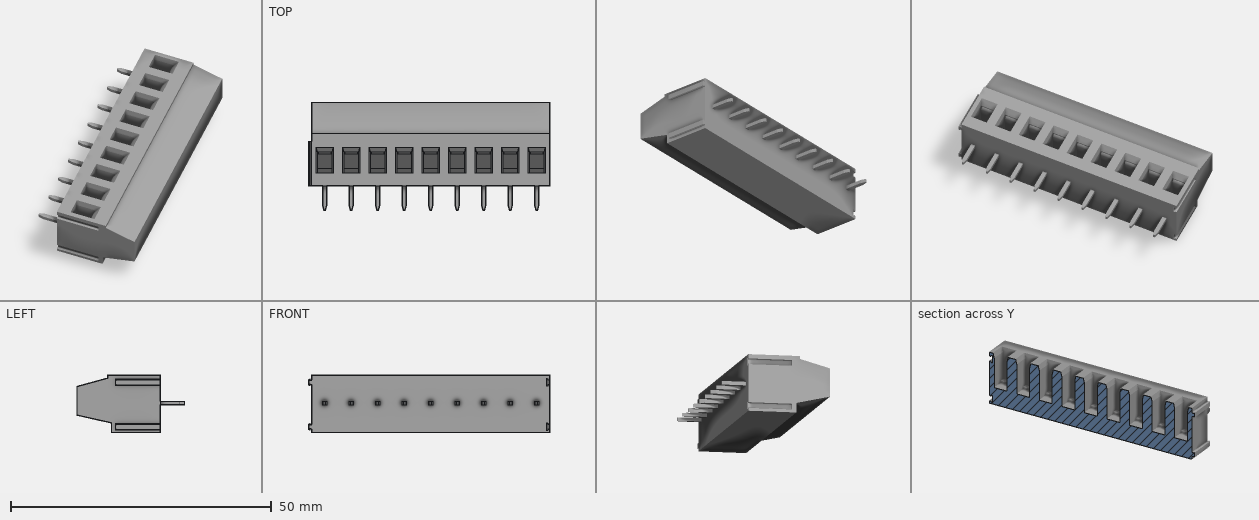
import cadquery as cq


RAIL_REACH = 0.6
BODY_LENGTH = 46.3 - RAIL_REACH
BODY_DEPTH = 16.0
BODY_HEIGHT = 11.0
TOP_LEDGE_DEPTH = 10.1
TOP_STEP = 0.55
BOTTOM_LEDGE_DEPTH = 9.4
BOTTOM_STEP = 1.85
REAR_TOP_DROP = 2.18
REAR_BOTTOM_RISE = 3.35

WAY_COUNT = 9
WAY_SPAN = 40.65
WAY_PITCH = WAY_SPAN / (WAY_COUNT - 1)
FIRST_WAY_X = 2.5

ENTRY_WIDTH = 3.35
ENTRY_FRONT_Y = 2.5
ENTRY_BACK_Y = 7.4
FUNNEL_DEPTH = 1.05
FUNNEL_SIDE_TAPER = 0.3
FUNNEL_BACK_TAPER = 0.93
SHAFT_WIDTH = ENTRY_WIDTH - 2 * FUNNEL_SIDE_TAPER
SHAFT_BACK_Y = ENTRY_BACK_Y - FUNNEL_BACK_TAPER
SHAFT_FLOOR_Z = 3.7
SHAFT_TOP_Z = BODY_HEIGHT - FUNNEL_DEPTH
SILL_DEPTH = 0.9
SILL_HEIGHT = 0.45

BAR_WIDTH = 2.4
BAR_PROTRUSION = 0.35
BAR_RADIUS = 0.6
BAR_TOP_Z = SHAFT_TOP_Z - 0.2

PIN_WIDTH = 0.85
PIN_THICKNESS = 0.7
PIN_LENGTH = 4.68
PIN_TIP_LENGTH = 1.0
PIN_TIP_WIDTH = 0.32
PIN_Z = 5.65

COUPLING_LENGTH = 8.55
COUPLING_CENTRES_Z = (1.1, BODY_HEIGHT - 1.4)
RAIL_HEAD_THICKNESS = 0.3
RAIL_FACE_HEIGHT = 0.95
RAIL_HEAD_HEIGHT = 1.2
RAIL_NECK_HEIGHT = 0.8
RAIL_ROOT_HEIGHT = 0.93
GROOVE_DEPTH = 0.7
GROOVE_HEAD_THICKNESS = 0.32
GROOVE_FLOOR_HEIGHT = 1.5
GROOVE_HEAD_HEIGHT = 1.3
GROOVE_NECK_HEIGHT = 0.85
GROOVE_MOUTH_HEIGHT = 1.1


def make_body():
    """Long block with a stepped, tapering rear, as one side outline extruded along X."""
    outline = [
        (0, 0),
        (BOTTOM_LEDGE_DEPTH, 0),
        (BOTTOM_LEDGE_DEPTH, BOTTOM_STEP),
        (BODY_DEPTH, REAR_BOTTOM_RISE),
        (BODY_DEPTH, BODY_HEIGHT - REAR_TOP_DROP),
        (TOP_LEDGE_DEPTH, BODY_HEIGHT - TOP_STEP),
        (TOP_LEDGE_DEPTH, BODY_HEIGHT),
        (0, BODY_HEIGHT),
    ]
    return cq.Workplane("YZ").polyline(outline).close().extrude(BODY_LENGTH)


def block(x_centre, width, y_front, y_back, z_bottom, z_top):
    """Box centred on x_centre, given by its front, back, bottom and top planes."""
    size = (width, y_back - y_front, z_top - z_bottom)
    corner = (x_centre - width / 2, y_front, z_bottom)
    return cq.Workplane("XY").box(*size, centered=False).translate(corner)


def make_entry(x):
    """Cutter for one wire entry: tapered funnel over a straight shaft that keeps its sill and clamp bar."""
    funnel = (
        cq.Workplane("XY", origin=(x, 0, SHAFT_TOP_Z))
        .center(0, (ENTRY_FRONT_Y + SHAFT_BACK_Y) / 2)
        .rect(SHAFT_WIDTH, SHAFT_BACK_Y - ENTRY_FRONT_Y)
        .workplane(offset=FUNNEL_DEPTH)
        .center(0, FUNNEL_BACK_TAPER / 2)
        .rect(ENTRY_WIDTH, ENTRY_BACK_Y - ENTRY_FRONT_Y)
        .loft(ruled=True)
    )
    shaft = block(x, SHAFT_WIDTH, ENTRY_FRONT_Y, SHAFT_BACK_Y, SHAFT_FLOOR_Z, SHAFT_TOP_Z)
    sill = block(
        x, SHAFT_WIDTH, ENTRY_FRONT_Y, ENTRY_FRONT_Y + SILL_DEPTH, SHAFT_FLOOR_Z, SHAFT_FLOOR_Z + SILL_HEIGHT
    )
    bar_front_y = SHAFT_BACK_Y - BAR_PROTRUSION
    bar = block(x, BAR_WIDTH, bar_front_y, bar_front_y + 2 * BAR_RADIUS, SHAFT_FLOOR_Z, BAR_TOP_Z)
    bar = bar.edges("|X and >Z and <Y").fillet(BAR_RADIUS)
    return funnel.union(shaft.cut(sill).cut(bar))


def make_pin(x):
    """Flat pin with a tapered tip, standing out of the pin face."""
    half_width = PIN_WIDTH / 2
    half_tip = PIN_TIP_WIDTH / 2
    shoulder_y = PIN_TIP_LENGTH - PIN_LENGTH
    outline = [
        (-half_width, 0),
        (-half_width, shoulder_y),
        (-half_tip, -PIN_LENGTH),
        (half_tip, -PIN_LENGTH),
        (half_width, shoulder_y),
        (half_width, 0),
    ]
    pin_bottom_z = PIN_Z - PIN_THICKNESS / 2
    return cq.Workplane("XY", origin=(x, 0, pin_bottom_z)).polyline(outline).close().extrude(PIN_THICKNESS)


def make_coupling(x, z, stations):
    """Headed bar along Y; stations lists (x offset, height) pairs of its symmetric cross-section."""
    upper = [(offset, height / 2) for offset, height in stations]
    lower = [(offset, -height / 2) for offset, height in reversed(stations)]
    profile = cq.Workplane("XZ", origin=(x, 0, z)).polyline(upper + lower).close()
    return profile.extrude(-COUPLING_LENGTH)


RAIL_STATIONS = [
    (-RAIL_REACH, RAIL_FACE_HEIGHT),
    (RAIL_HEAD_THICKNESS - RAIL_REACH, RAIL_HEAD_HEIGHT),
    (RAIL_HEAD_THICKNESS - RAIL_REACH, RAIL_NECK_HEIGHT),
    (0, RAIL_ROOT_HEIGHT),
]
GROOVE_STATIONS = [
    (-GROOVE_DEPTH, GROOVE_FLOOR_HEIGHT),
    (GROOVE_HEAD_THICKNESS - GROOVE_DEPTH, GROOVE_HEAD_HEIGHT),
    (GROOVE_HEAD_THICKNESS - GROOVE_DEPTH, GROOVE_NECK_HEIGHT),
    (0, GROOVE_MOUTH_HEIGHT),
]

result = make_body()

for way in range(WAY_COUNT):
    way_x = FIRST_WAY_X + way * WAY_PITCH
    result = result.cut(make_entry(way_x)).union(make_pin(way_x))

for centre_z in COUPLING_CENTRES_Z:
    result = result.union(make_coupling(0, centre_z, RAIL_STATIONS))
    result = result.cut(make_coupling(BODY_LENGTH, centre_z, GROOVE_STATIONS))